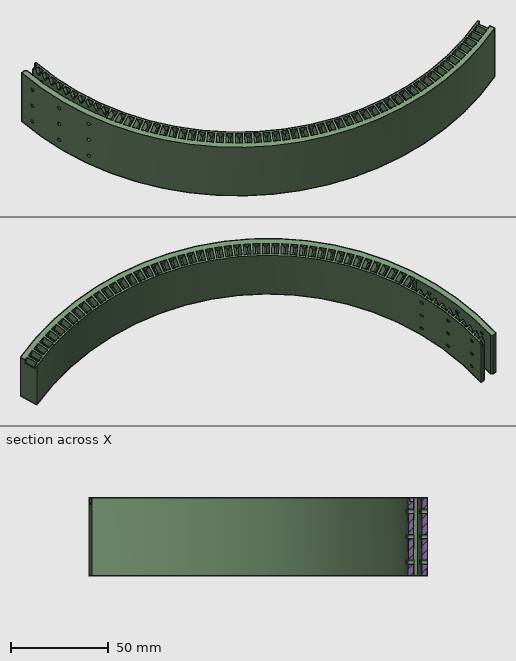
import cadquery as cq
import math

HEIGHT = 40.0
START_ANGLE = -100.0
END_ANGLE = 9.0
OUTER_RADIUS = 150.0
OUTER_WALL = 3.0
INNER_RADIUS = 140.0
INNER_WALL = 1.0
CORE_OUTER_RADIUS = OUTER_RADIUS - OUTER_WALL
CORE_INNER_RADIUS = INNER_RADIUS + INNER_WALL

GROOVE_PITCHES = 57
GROOVE_DEPTH = 3.5
GROOVE_FLOOR_WIDTH = 0.8
CREST_WIDTH = 1.2
PITCH_ANGLE = (END_ANGLE - START_ANGLE) / GROOVE_PITCHES
PITCH_LENGTH = math.radians(PITCH_ANGLE) * (CORE_INNER_RADIUS + CORE_OUTER_RADIUS) / 2
GROOVE_WIDTH = PITCH_LENGTH - CREST_WIDTH

FLAP_THICKNESS = 3.0
SLOT_END_ANGLE = -80.0
SLOT_INNER_RADIUS = INNER_RADIUS + FLAP_THICKNESS
SLOT_OUTER_RADIUS = CORE_OUTER_RADIUS

MOUTH_CHAMFER_WIDTH = 1.0
MOUTH_CHAMFER_DEPTH = 0.75

HOLE_DIAMETER = 2.0
HOLE_MIDDLE_ANGLE = (START_ANGLE + SLOT_END_ANGLE) / 2
HOLE_ANGLE_STEP = 7.0
HOLE_HEIGHT_STEP = 13.0

OVERCUT = 1.0


def polar(radius, angle):
    """Point in the XY plane at a radius and an angle in degrees."""
    return (
        radius * math.cos(math.radians(angle)),
        radius * math.sin(math.radians(angle)),
    )


def ring_sector(inner_radius, outer_radius, start, end, bottom, height):
    """Part of a ring between two angles, standing on the level `bottom`."""
    middle = (start + end) / 2
    return (
        cq.Workplane("XY")
        .workplane(offset=bottom)
        .moveTo(*polar(inner_radius, start))
        .lineTo(*polar(outer_radius, start))
        .threePointArc(polar(outer_radius, middle), polar(outer_radius, end))
        .lineTo(*polar(inner_radius, end))
        .threePointArc(polar(inner_radius, middle), polar(inner_radius, start))
        .close()
        .extrude(height)
    )


def groove_cutters():
    """Tapered bars that lie radially across the top of the core, trimmed to its width."""
    floor_level = HEIGHT - GROOVE_DEPTH
    bar = (
        cq.Workplane("YZ")
        .workplane(offset=INNER_RADIUS)
        .moveTo(-GROOVE_FLOOR_WIDTH / 2, floor_level)
        .lineTo(GROOVE_FLOOR_WIDTH / 2, floor_level)
        .lineTo(GROOVE_WIDTH / 2, HEIGHT)
        .lineTo(-GROOVE_WIDTH / 2, HEIGHT)
        .close()
        .extrude(OUTER_RADIUS - INNER_RADIUS)
    )
    trim = ring_sector(
        CORE_INNER_RADIUS,
        CORE_OUTER_RADIUS,
        START_ANGLE - PITCH_ANGLE,
        END_ANGLE + PITCH_ANGLE,
        HEIGHT - GROOVE_DEPTH - OVERCUT,
        GROOVE_DEPTH + 2 * OVERCUT,
    )
    bars = cq.Workplane("XY")
    for index in range(GROOVE_PITCHES + 1):
        angle = START_ANGLE + index * PITCH_ANGLE
        bars.add(bar.rotate((0, 0, 0), (0, 0, 1), angle))
    return cq.Workplane(obj=cq.Compound.makeCompound(bars.vals())).intersect(trim)


def hole_cutters():
    """Radial pins for the holes, long enough to pass through the whole band."""
    pins = cq.Workplane("XY")
    length = OUTER_RADIUS - INNER_RADIUS + 2 * OVERCUT
    for column in (-1, 0, 1):
        angle = HOLE_MIDDLE_ANGLE + column * HOLE_ANGLE_STEP
        direction = cq.Vector(*polar(1, angle), 0)
        for row in (-1, 0, 1):
            height = HEIGHT / 2 + row * HOLE_HEIGHT_STEP
            start = direction * (INNER_RADIUS - OVERCUT) + cq.Vector(0, 0, height)
            pins.add(cq.Solid.makeCylinder(HOLE_DIAMETER / 2, length, start, direction))
    return cq.Workplane(obj=cq.Compound.makeCompound(pins.vals()))


def mouth_cutter():
    """Tapered bar that chamfers both edges of the slot where it opens at the end face."""
    return (
        cq.Workplane("XY")
        .moveTo(SLOT_INNER_RADIUS, MOUTH_CHAMFER_DEPTH)
        .lineTo(SLOT_OUTER_RADIUS, MOUTH_CHAMFER_DEPTH)
        .lineTo(SLOT_OUTER_RADIUS + MOUTH_CHAMFER_WIDTH, 0)
        .lineTo(SLOT_INNER_RADIUS - MOUTH_CHAMFER_WIDTH, 0)
        .close()
        .extrude(HEIGHT)
        .rotate((0, 0, 0), (0, 0, 1), START_ANGLE)
    )


band = ring_sector(INNER_RADIUS, OUTER_RADIUS, START_ANGLE, END_ANGLE, 0, HEIGHT)
slot = ring_sector(
    SLOT_INNER_RADIUS,
    SLOT_OUTER_RADIUS,
    START_ANGLE - PITCH_ANGLE,
    SLOT_END_ANGLE,
    -OVERCUT,
    HEIGHT + 2 * OVERCUT,
)
result = band.cut(groove_cutters()).cut(slot).cut(mouth_cutter()).cut(hole_cutters())